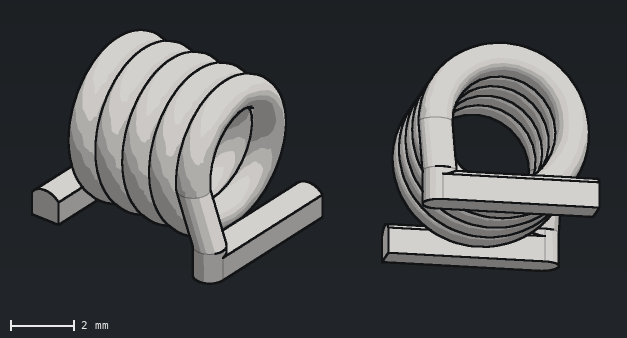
import cadquery as cq

overall_length = 7.3
wire_diameter = 1.08
bore_diameter = 3.43
axis_height = 2.89
pitch = 1.09
turns = 4.5
foot_side_height = 0.83

wire_radius = wire_diameter / 2
coil_radius = (bore_diameter + wire_diameter) / 2
outer_radius = coil_radius + wire_radius
coil_length = pitch * turns
coil_start_x = -coil_length / 2
foot_height = wire_diameter
foot_x = -(overall_length - wire_diameter) / 2


def make_coil():
    """Helical wire along X, rising from +Y at the -X end and ending at -Y."""
    path = cq.Workplane(cq.Wire.makeHelix(pitch, coil_length, coil_radius))
    coil = cq.Workplane("XZ").center(coil_radius, 0).circle(wire_radius).sweep(path, isFrenet=True)
    coil = coil.rotate((0, 0, 0), (1, 1, 1), 120)
    return coil.translate((coil_start_x, 0, axis_height))


def make_leg():
    """Slanted round leg with horizontal ends, between the coil start and the foot."""
    return (
        cq.Workplane("XY", origin=(foot_x, coil_radius, foot_height))
        .circle(wire_radius)
        .workplane(offset=axis_height - foot_height)
        .center(coil_start_x - foot_x, 0)
        .circle(wire_radius)
        .loft(ruled=True)
    )


def make_foot():
    """Arched bar along Y, with an upright round post under the leg."""
    post = (
        cq.Workplane("XY", origin=(foot_x, coil_radius, 0))
        .circle(wire_radius)
        .extrude(foot_height)
    )
    bar = (
        cq.Workplane("XZ", origin=(foot_x, coil_radius, 0))
        .moveTo(-wire_radius, 0)
        .lineTo(wire_radius, 0)
        .lineTo(wire_radius, foot_side_height)
        .threePointArc((0, foot_height), (-wire_radius, foot_side_height))
        .close()
        .extrude(coil_radius + outer_radius)
    )
    return post.union(bar)


terminal = make_foot().union(make_leg())
result = make_coil()
for angle in (0, 180):
    result = result.union(terminal.rotate((0, 0, 0), (0, 0, 1), angle))